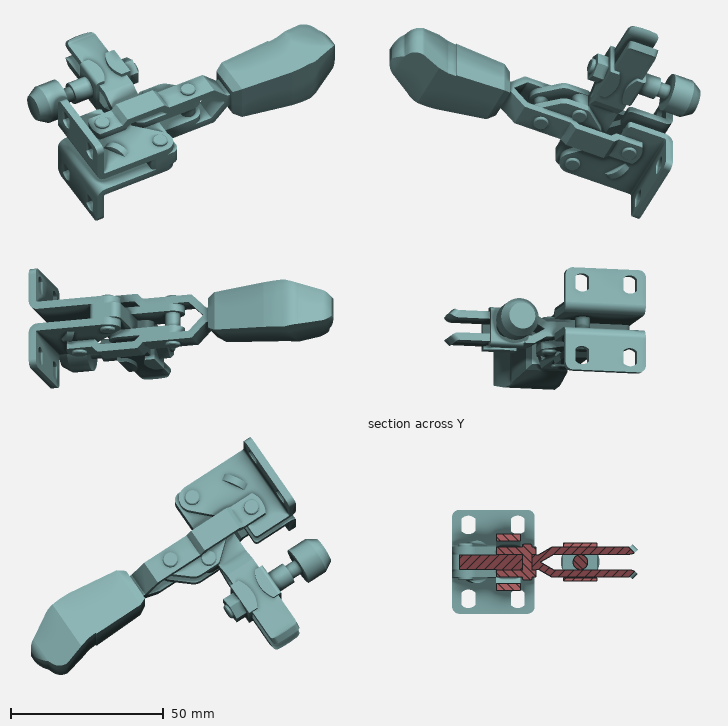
import cadquery as cq
import math


half_diagonal = math.sqrt(0.5)

sheet = 2.5
arm_z = sheet
plate_z = arm_z + sheet
lever_z = plate_z + sheet
miter = sheet * math.tan(math.radians(22.5))

lever_pivot = (0, 11.8)
lever_link_pivot = (0, 43.7)
arm_link_pivot = (-6.0, 32.6)
arm_pivot = (14.1, 25.6)
rivet_radius = 2.5
rivet_head_height = 1.0
rivet_chamfer = 0.3

base_left = -8.6
base_right = 18.4
base_length = base_right - base_left
flange_half_span = 34.0 / 2
flange_corner_radius = 2.4
bend_inner_radius = 0.5
bend_outer_radius = bend_inner_radius + sheet
base_front_height = 15.8
base_front_radius = 1.2
base_ear_radius = base_right - arm_pivot[0]
slot_x = (-3.1, 13.1)
slot_z = 12.1
slot_length = 6.0
slot_width = 4.6
stop_center = (10.8, 11.1)
stop_length = 8.1
stop_width = 2.4
stop_height = 2.0
stop_angle = 31

arm_height = 10.2
arm_bottom = arm_pivot[1] - arm_height / 2
arm_top = arm_bottom + arm_height
arm_tip = -42.4
arm_end_top_radius = 2.7
arm_end_bottom_radius = 1.6
fork_root = -9.8
fork_angle = 30
prong_flare = 0.8
prong_bend_radius = 1.2
tip_corner_radius = 1.7
tip_bulge = 0.4
tip_inner_z = plate_z + prong_flare - sheet * half_diagonal
lug_radius = 2.9

link_left = -9.1
link_bottom_y = 26.1
link_side = (30.9, 37.8)
link_shoulder = (-8.1, 40.4)
link_shoulder_mid = (-8.8, 39.2)
link_foot = (-8.8, 30.2)
link_slope = 49

lever_width = 8.0
lever_end_y = 7.7
lever_shoulder_y = 8.8
lever_fork_y = 56.2
bulge_height = 1.9
bulge_bottom = 17.2
bulge_top = 34.65

grip_bottom = 57.3
grip_top = 98.0
grip_socket_depth = 9.9
grip_collar_y = 60.0
grip_waist_y = 77.6
grip_widest_y = 84.15
grip_brow_y = 95.5

spindle_x = -23.5
thread_radius = 2.5
thread_top = 37.0
thread_chamfer = 0.4
collar_radius = 3.7
collar_bottom = 13.0
pad_radius = 6.3
pad_top = 9.0
pad_cone_top = 2.3
pad_face_radius = 4.4
pad_bottom = -1.0
nut_width = 8.0
nut_height = 3.9
washer_thickness = 1.3
washer_length = 11.1
washer_half_width = 6.3
tab_side_depth = 3.2
tab_depth = 4.9


def both_sides(half):
    """Join a shape to its mirror image across the middle plane."""
    return half.union(half.mirror("XY"))


def cylinder_z(center, radius, half_length):
    return cq.Workplane("XY").center(*center).circle(radius).extrude(half_length, both=True)


def rivet(center, clamped_z):
    """Rivet with chamfered heads standing proud of the outer sheet faces."""
    pin = cylinder_z(center, rivet_radius, clamped_z + rivet_head_height)
    return pin.faces("|Z").chamfer(rivet_chamfer)


def around(center, radius, degrees):
    """Point on a circle, at an angle measured from +X."""
    angle = math.radians(degrees)
    return (center[0] + radius * math.cos(angle), center[1] + radius * math.sin(angle))


def base_side_plate():
    slope_top = around(arm_pivot, base_ear_radius, 135)
    slope_foot_x = slope_top[0] - (slope_top[1] - base_front_height)
    plate = (
        cq.Workplane("XY").workplane(offset=arm_z)
        .moveTo(base_left, bend_outer_radius)
        .lineTo(base_right, bend_outer_radius)
        .lineTo(base_right, arm_pivot[1])
        .threePointArc(around(arm_pivot, base_ear_radius, 70), slope_top)
        .lineTo(slope_foot_x, base_front_height)
        .lineTo(base_left, base_front_height)
        .close().extrude(sheet)
    )
    front_corner = cq.selectors.NearestToPointSelector((base_left, base_front_height, arm_z + sheet / 2))
    return plate.edges(front_corner).fillet(base_front_radius)


def base_flange():
    bend_z = arm_z + bend_outer_radius
    outer_mid = bend_outer_radius * half_diagonal
    inner_mid = bend_inner_radius * half_diagonal
    flange = (
        cq.Workplane("YZ").workplane(offset=base_left)
        .moveTo(bend_outer_radius, arm_z)
        .threePointArc((bend_outer_radius - outer_mid, bend_z - outer_mid), (0, bend_z))
        .lineTo(0, flange_half_span)
        .lineTo(sheet, flange_half_span)
        .lineTo(sheet, bend_z)
        .threePointArc((bend_outer_radius - inner_mid, bend_z - inner_mid), (bend_outer_radius, plate_z))
        .close().extrude(base_length)
    )
    flange = flange.faces(">Z").edges("|Y").fillet(flange_corner_radius)
    for x in slot_x:
        round_hole = (
            cq.Workplane("XZ").center(x, slot_z).circle(slot_length / 2).extrude(-sheet)
        )
        slot = cq.Workplane("XY").box(slot_width, 2 * sheet, slot_length).translate((x, sheet / 2, slot_z))
        flange = flange.cut(round_hole.intersect(slot))
    return flange


def base_stop():
    """Arched stop pressed out of the outer face of a base plate."""
    return (
        cq.Workplane("XZ")
        .moveTo(-stop_length / 2, 0)
        .threePointArc((0, stop_height), (stop_length / 2, 0))
        .close().extrude(stop_width / 2, both=True)
        .rotate((0, 0, 0), (0, 0, 1), stop_angle)
        .translate((*stop_center, plate_z))
    )


def make_base():
    half = base_side_plate().union(base_flange()).union(base_stop())
    base = both_sides(half)
    return base.union(rivet(lever_pivot, lever_z)).union(rivet(arm_pivot, plate_z))


def make_link():
    top = lever_link_pivot
    bottom = (0, link_bottom_y)
    radius = lever_width / 2
    plate = (
        cq.Workplane("XY").workplane(offset=arm_z)
        .moveTo(radius, bottom[1])
        .lineTo(radius, top[1])
        .threePointArc(around(top, radius, 65), around(top, radius, 90 + link_slope))
        .lineTo(*link_shoulder)
        .threePointArc(link_shoulder_mid, (link_left, link_side[1]))
        .lineTo(link_left, link_side[0])
        .lineTo(*link_foot)
        .lineTo(*around(bottom, radius, 270 - link_slope))
        .threePointArc(around(bottom, radius, 290), (radius, bottom[1]))
        .close().extrude(sheet)
    )
    link = both_sides(plate)
    return link.union(rivet(lever_link_pivot, lever_z)).union(rivet(arm_link_pivot, plate_z))


def prong_tip_envelope():
    """Slab square to the flared upper prong tip, carrying the rounded end outline of the prong."""
    length = base_right - arm_tip
    half_height = arm_height / 2
    tip_plane = cq.Plane(
        origin=(arm_tip, arm_pivot[1], tip_inner_z), xDir=(-1, 0, 1), normal=(1, 0, 1)
    )
    slab = (
        cq.Workplane(tip_plane)
        .moveTo(-length, -half_height)
        .lineTo(-tip_bulge, -half_height)
        .threePointArc((0, 0), (-tip_bulge, half_height))
        .lineTo(-length, half_height)
        .close().extrude(length, both=True)
    )
    return slab.edges(cq.selectors.ParallelDirSelector(cq.Vector(1, 0, 1))).fillet(tip_corner_radius)


def arm_half():
    """Upper half of the arm: solid at the back, with one spread prong that flares at its tip."""
    slope = math.tan(math.radians(fork_angle))
    fork_end = fork_root - sheet / slope
    inner_shift = sheet * math.tan(math.radians(fork_angle / 2))

    bend_outer_z = plate_z + prong_bend_radius
    straight_flare = prong_flare - prong_bend_radius * (1 - half_diagonal)
    bend_x = arm_tip + sheet * half_diagonal + straight_flare + prong_bend_radius * half_diagonal
    bend_center = (bend_x, bend_outer_z)
    convex_radius = prong_bend_radius + sheet

    profile = (
        cq.Workplane("XZ").workplane(offset=-arm_top)
        .moveTo(base_right, 0)
        .lineTo(base_right, arm_z)
        .lineTo(fork_root, arm_z)
        .lineTo(fork_end, plate_z)
        .lineTo(bend_x, plate_z)
        .threePointArc(
            around(bend_center, prong_bend_radius, 247.5), around(bend_center, prong_bend_radius, 225)
        )
        .lineTo(arm_tip + sheet * half_diagonal, plate_z + prong_flare)
        .lineTo(arm_tip, tip_inner_z)
        .lineTo(*around(bend_center, convex_radius, 225))
        .threePointArc(around(bend_center, convex_radius, 247.5), (bend_x, arm_z))
        .lineTo(fork_end - inner_shift, arm_z)
        .lineTo(fork_root - inner_shift, 0)
        .close().extrude(arm_height)
    )
    half = profile.intersect(prong_tip_envelope())
    half = half.edges("|Z and >X and >Y").fillet(arm_end_top_radius)
    return half.edges("|Z and >X and <Y").fillet(arm_end_bottom_radius)


def make_arm():
    lug_height = arm_link_pivot[1] - arm_bottom
    lug = cylinder_z(arm_link_pivot, lug_radius, arm_z)
    lug_foot = (
        cq.Workplane("XY")
        .box(2 * lug_radius, lug_height, 2 * arm_z)
        .translate((arm_link_pivot[0], arm_bottom + lug_height / 2, 0))
    )
    arm = both_sides(arm_half()).union(lug).union(lug_foot)
    for pivot in (arm_pivot, arm_link_pivot):
        arm = arm.cut(cylinder_z(pivot, rivet_radius, plate_z))
    return arm


def lever_half():
    """Upper half of the lever: the tang in the grip, then one strip with an outward bulge."""
    fork_end = lever_fork_y - (lever_z - sheet)
    bulge_z = lever_z + bulge_height
    strip = (
        cq.Workplane("YZ").workplane(offset=-lever_width / 2)
        .moveTo(grip_bottom + grip_socket_depth, 0)
        .lineTo(grip_bottom + grip_socket_depth, sheet)
        .lineTo(lever_fork_y, sheet)
        .lineTo(fork_end, lever_z)
        .lineTo(bulge_top, lever_z)
        .lineTo(bulge_top - bulge_height, bulge_z)
        .lineTo(bulge_bottom + bulge_height, bulge_z)
        .lineTo(bulge_bottom, lever_z)
        .lineTo(lever_end_y, lever_z)
        .lineTo(lever_end_y, plate_z)
        .lineTo(bulge_bottom + miter, plate_z)
        .lineTo(bulge_bottom + bulge_height + miter, plate_z + bulge_height)
        .lineTo(bulge_top - bulge_height - miter, plate_z + bulge_height)
        .lineTo(bulge_top - miter, plate_z)
        .lineTo(fork_end - miter, plate_z)
        .lineTo(lever_fork_y - miter, 0)
        .close().extrude(lever_width)
    )
    half_width = lever_width / 2
    outline = (
        cq.Workplane("XY")
        .moveTo(-half_width, lever_shoulder_y)
        .threePointArc((0, lever_end_y), (half_width, lever_shoulder_y))
        .lineTo(half_width, grip_top)
        .lineTo(-half_width, grip_top)
        .close().extrude(lever_z + bulge_height)
    )
    return strip.intersect(outline)


def make_lever():
    """Lever with holes for its rivets and clearance for the heads of the lower link rivet."""
    lever = both_sides(lever_half())
    for pivot in (lever_pivot, lever_link_pivot):
        lever = lever.cut(cylinder_z(pivot, rivet_radius, lever_z))
    return lever.cut(rivet(arm_link_pivot, plate_z))


def make_grip():
    """Grip: a contoured outline, limited across Z by a tapering thickness profile."""
    outline = (
        cq.Workplane("XY")
        .moveTo(-5.5, grip_bottom)
        .lineTo(5.5, grip_bottom)
        .lineTo(7.1, grip_collar_y)
        .lineTo(9.1, 77.4)
        .threePointArc((9.1, 81.0), (8.8, grip_widest_y))
        .threePointArc((8.3, 86.3), (7.1, 88.5))
        .lineTo(3.2, grip_brow_y)
        .threePointArc((2.1, 97.0), (0.7, grip_top))
        .lineTo(-1.5, grip_top)
        .threePointArc((-3.0, 97.5), (-5.7, grip_brow_y))
        .lineTo(-7.4, 94.8)
        .threePointArc((-9.4, 93.1), (-10.0, 90.8))
        .lineTo(-9.8, 90.0)
        .lineTo(-7.1, 80.5)
        .threePointArc((-7.0, 79.1), (-6.9, grip_waist_y))
        .lineTo(-7.3, grip_waist_y)
        .lineTo(-6.9, grip_collar_y)
        .close().extrude(grip_top, both=True)
    )
    thickness = (
        cq.Workplane("YZ")
        .moveTo(grip_bottom, 0)
        .lineTo(grip_bottom, 4.95)
        .lineTo(grip_collar_y, 6.4)
        .lineTo(grip_widest_y, 8.1)
        .lineTo(grip_brow_y, 5.2)
        .threePointArc((97.1, 4.4), (grip_top, 3.2))
        .lineTo(grip_top, 0)
        .close().extrude(grip_top, both=True)
    )
    return outline.intersect(both_sides(thickness))


def spindle_cylinder(radius, bottom, top):
    """Cylinder on the spindle axis, which is parallel to Y."""
    return (
        cq.Workplane("XZ").workplane(offset=-bottom)
        .center(spindle_x, 0).circle(radius).extrude(bottom - top)
    )


def flanged_washer(is_upper):
    """U-shaped washer: a plate on one edge of the arm, with a rounded tab over each prong.

    Only the lower washer has round bends; the upper one has square corners.
    """
    half_length = washer_length / 2
    outer_y = arm_height / 2 + washer_thickness
    plate = (
        cq.Workplane("XY")
        .box(washer_length, outer_y, 2 * washer_half_width)
        .translate((0, outer_y / 2, 0))
    )
    if not is_upper:
        plate = plate.faces(">Y").edges("|X").fillet(washer_thickness)
    channel = cq.Workplane("XY").box(
        washer_length, arm_height, 2 * (washer_half_width - washer_thickness)
    )
    tab_outline = (
        cq.Workplane("XY")
        .moveTo(-half_length, outer_y)
        .lineTo(-half_length, outer_y - tab_side_depth)
        .threePointArc((0, outer_y - tab_depth), (half_length, outer_y - tab_side_depth))
        .lineTo(half_length, outer_y)
        .close().extrude(washer_half_width, both=True)
    )
    washer = plate.cut(channel).intersect(tab_outline)
    if not is_upper:
        washer = washer.mirror("XZ")
    return washer.translate((spindle_x, arm_pivot[1], 0))


def make_spindle():
    """Threaded spindle with collar, lower flanged washer and pressure pad."""
    thread = spindle_cylinder(thread_radius, pad_top, thread_top).faces(">Y").chamfer(thread_chamfer)
    collar = spindle_cylinder(collar_radius, collar_bottom, arm_bottom - washer_thickness)
    pad = (
        cq.Workplane("XY")
        .moveTo(0, pad_bottom)
        .lineTo(pad_face_radius, pad_bottom)
        .lineTo(pad_radius, pad_cone_top)
        .lineTo(pad_radius, pad_top)
        .lineTo(0, pad_top)
        .close().revolve(360, (0, 0, 0), (0, 1, 0))
        .translate((spindle_x, 0, 0))
    )
    return pad.union(thread).union(collar).union(flanged_washer(False))


def make_nut():
    """Hexagon nut with the upper flanged washer, two of its flats facing along the arm."""
    seat_y = arm_top + washer_thickness
    nut = (
        cq.Workplane("XZ").workplane(offset=-seat_y)
        .center(spindle_x, 0)
        .polygon(6, nut_width / math.cos(math.radians(30)))
        .extrude(-nut_height)
        .rotate((spindle_x, 0, 0), (spindle_x, 1, 0), 30)
    )
    nut = nut.union(flanged_washer(True))
    return nut.cut(spindle_cylinder(thread_radius, arm_bottom, thread_top))


base = make_base()
link = make_link()
arm = make_arm()
lever = make_lever()
grip = make_grip().cut(lever)
spindle = make_spindle()
nut = make_nut()

result = cq.Compound.makeCompound(
    [body.val() for body in (base, link, arm, lever, grip, spindle, nut)]
)